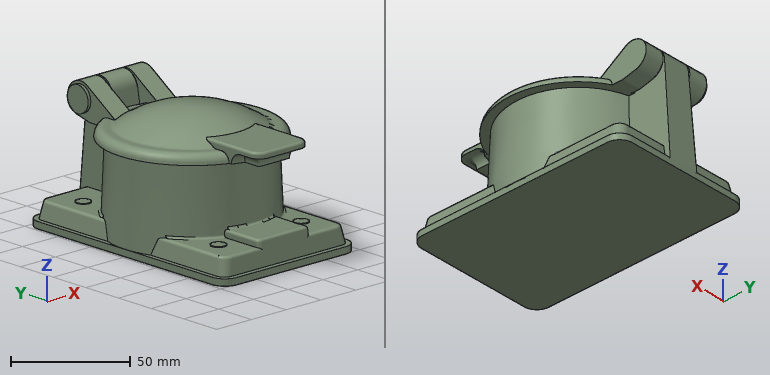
import cadquery as cq
import math


plate_width = 77.3
plate_length = 121.18
plate_thickness = 3.3
plate_corner_radius = 7.25

pedestal_base_half_x = 36.3
pedestal_base_half_y = 57.95
pedestal_top_z = 11.5
pedestal_height = pedestal_top_z - plate_thickness
pedestal_draft_x = 0.207
pedestal_draft_y = 0.156
pedestal_corner_radius = 4.7
pedestal_edge_fillet = 1.4

pad_top_z = 14.9
pad_half_width = 14.6
pad_corner_radius = 2.0
pad_edge_fillet = 1.3
pad_back_y = -30.0

screw_half_x = 23.8
screw_half_y = 41.35
screw_radius = 3.5
screw_height = 0.4

body_base_radius = 38.6
body_top_radius = 36.9
body_foot_fillet = 1.0

lid_bottom_z = 44.8
lid_radius = 82.74 / 2
lid_lip_height = 0.9
lid_lip_draft = 0.17
rim_top_z = 49.3
rim_flat_outer_radius = 36.9
rim_flat_inner_radius = 34.2
dome_base_radius = 32.0
dome_base_z = 50.2
dome_top_z = 59.4

hinge_y = 48.8
hinge_radius = 7.75
hinge_z = 61.9 - hinge_radius
arm_inner_x = 8.15
arm_outer_x = 18.5
arm_upper_slope = 33.3
arm_lower_slope = 13.5
arm_root_y = 25.0
pin_radius = 6.4
pin_end_x = -20.05
post_base_half_width = 8.15
post_top_half_width = 7.2
post_front_foot_y = 39.5
post_root_y = 30.0
lid_clearance_y = 38.4

tab_half_width = 15.0
tab_end_y = -56.5
tab_root_y = -22.0
tab_bottom_z = 50.1
tab_top_z = 52.75
tab_corner_radius = 5.8
tab_edge_fillet = 1.3
tab_hub_radius = 42.7
stem_half_width = 9.0
stem_end_y = -50.5
stem_corner_radius = 0.9
stem_flare_radius = 5.0


def box(x_min, x_max, y_min, y_max, z_min, z_max):
    """Axis-aligned block between the given limits."""
    size = (x_max - x_min, y_max - y_min, z_max - z_min)
    return cq.Workplane("XY").box(*size, centered=False).translate((x_min, y_min, z_min))


def side_profile(x_min):
    """Workplane at x_min whose local axes are Y and Z and whose normal is +X."""
    return cq.Workplane("YZ", origin=(x_min, 0, 0))


def hinge_point(angle):
    """(y, z) on the hinge barrel at an angle in degrees from +Y towards +Z."""
    a = math.radians(angle)
    return (hinge_y + hinge_radius * math.cos(a), hinge_z + hinge_radius * math.sin(a))


def tangent_angle(y, z, side):
    """Barrel angle in degrees where a line from (y, z) touches it; side is 1 for +Y, -1 for -Y."""
    distance = math.hypot(y - hinge_y, z - hinge_z)
    direction = math.atan2(z - hinge_z, y - hinge_y)
    return math.degrees(direction + side * math.acos(hinge_radius / distance))


def make_plate():
    plate = cq.Workplane("XY").rect(plate_width, plate_length).extrude(plate_thickness)
    return plate.edges("|Z").fillet(plate_corner_radius)


def pedestal_section(height):
    """Rounded rectangle of the drafted pedestal at a height above the plate."""
    return cq.Sketch().rect(
        2 * (pedestal_base_half_x - pedestal_draft_x * height),
        2 * (pedestal_base_half_y - pedestal_draft_y * height),
    ).vertices().fillet(pedestal_corner_radius)


def make_pedestal():
    block = (
        cq.Workplane("XY", origin=(0, 0, plate_thickness))
        .placeSketch(
            pedestal_section(0),
            pedestal_section(pedestal_height).moved(cq.Location(cq.Vector(0, 0, pedestal_height))),
        )
        .loft()
    )
    return block.faces(">Z").edges().fillet(pedestal_edge_fillet)


def make_label_pad():
    """Round-edged pad whose front face continues the draft of the pedestal."""
    front_y = -pedestal_base_half_y + pedestal_draft_y * (pad_top_z - plate_thickness)
    pad = (
        side_profile(-pad_half_width)
        .polyline([
            (pad_back_y, plate_thickness),
            (-pedestal_base_half_y, plate_thickness),
            (front_y, pad_top_z),
            (pad_back_y, pad_top_z),
        ])
        .close()
        .extrude(2 * pad_half_width)
    )
    pad = pad.faces("<X or >X").edges("<Y").fillet(pad_corner_radius)
    return pad.faces(">Z").edges("not >Y").fillet(pad_edge_fillet)


def make_screw_covers():
    return (
        cq.Workplane("XY", origin=(0, 0, plate_thickness))
        .rect(2 * screw_half_x, 2 * screw_half_y, forConstruction=True)
        .vertices()
        .circle(screw_radius)
        .extrude(pedestal_height + screw_height)
    )


def make_body():
    return (
        cq.Workplane("XZ")
        .polyline([
            (0, plate_thickness),
            (body_base_radius, plate_thickness),
            (body_top_radius, lid_bottom_z),
            (0, lid_bottom_z),
        ])
        .close()
        .revolve(360, (0, 0, 0), (0, 1, 0))
    )


def make_foot_fillet(z, half_x, y_min, y_max):
    """Hollow fillet around the body where it meets a level face at height z, trimmed to that face."""
    r = body_foot_fillet
    slope = (body_base_radius - body_top_radius) / (lid_bottom_z - plate_thickness)
    wall = body_base_radius - slope * (z - plate_thickness)
    bend = r * (1 - math.sqrt(0.5))
    ring = (
        cq.Workplane("XZ")
        .moveTo(wall - r, z)
        .lineTo(wall + r, z)
        .threePointArc((wall + bend, z + bend), (wall - slope * r, z + r))
        .lineTo(wall - r, z + r)
        .close()
        .revolve(360, (0, 0, 0), (0, 1, 0))
    )
    return ring.intersect(box(-half_x, half_x, y_min, y_max, z, z + r))


def make_lid():
    """Revolved lid: short lip, rounded rim, flat ring, hollow blend and spherical dome."""
    lip_top = (lid_radius - lid_lip_draft, lid_bottom_z + lid_lip_height)
    run = lip_top[0] - rim_flat_outer_radius
    rise = rim_top_z - lip_top[1]
    rim_arc_radius = (run**2 + rise**2) / (2 * rise)
    half_angle = math.asin(run / rim_arc_radius) / 2
    rim_mid = (
        rim_flat_outer_radius + rim_arc_radius * math.sin(half_angle),
        rim_top_z - rim_arc_radius * (1 - math.cos(half_angle)),
    )
    blend_run = rim_flat_inner_radius - dome_base_radius
    blend_rise = dome_base_z - rim_top_z
    blend_mid = (rim_flat_inner_radius - blend_run / 2, rim_top_z + blend_rise / 4)
    dome_height = dome_top_z - dome_base_z
    dome_sphere_radius = (dome_base_radius**2 + dome_height**2) / (2 * dome_height)
    dome_mid_radius = dome_base_radius / 2
    dome_mid_drop = dome_sphere_radius - math.sqrt(dome_sphere_radius**2 - dome_mid_radius**2)
    return (
        cq.Workplane("XZ")
        .moveTo(0, lid_bottom_z)
        .lineTo(lid_radius, lid_bottom_z)
        .lineTo(*lip_top)
        .threePointArc(rim_mid, (rim_flat_outer_radius, rim_top_z))
        .lineTo(rim_flat_inner_radius, rim_top_z)
        .threePointArc(blend_mid, (dome_base_radius, dome_base_z))
        .threePointArc((dome_mid_radius, dome_top_z - dome_mid_drop), (0, dome_top_z))
        .close()
        .revolve(360, (0, 0, 0), (0, 1, 0))
    )


def make_lid_clearance():
    """Block removed from the lid between the arms so that it clears the hinge post."""
    return box(-arm_inner_x, arm_inner_x, lid_clearance_y, lid_radius, lid_bottom_z, dome_top_z)


def make_arm(x_min):
    """Lid arm: hinge barrel with tangent flanks running down into the lid."""
    upper = hinge_point(90 + arm_upper_slope)
    lower = hinge_point(-90 + arm_lower_slope)
    upper_root_z = upper[1] - (upper[0] - arm_root_y) * math.tan(math.radians(arm_upper_slope))
    heel_y = lower[0] - (lower[1] - lid_bottom_z) / math.tan(math.radians(arm_lower_slope))
    return (
        side_profile(x_min)
        .moveTo(arm_root_y, lid_bottom_z)
        .lineTo(heel_y, lid_bottom_z)
        .lineTo(*lower)
        .threePointArc(hinge_point(0), upper)
        .lineTo(arm_root_y, upper_root_z)
        .close()
        .extrude(arm_outer_x - arm_inner_x)
    )


def make_pin():
    return side_profile(pin_end_x).center(hinge_y, hinge_z).circle(pin_radius).extrude(arm_outer_x - pin_end_x)


def make_hinge_post():
    """Post from the plate's rear edge up to the hinge barrel, narrowing towards the top."""
    back_y = plate_length / 2
    back_tangent = hinge_point(tangent_angle(back_y, plate_thickness, 1))
    front_tangent = hinge_point(tangent_angle(post_front_foot_y, lid_bottom_z, -1))
    profile = (
        side_profile(-post_base_half_width)
        .moveTo(post_root_y, plate_thickness)
        .lineTo(back_y, plate_thickness)
        .lineTo(*back_tangent)
        .threePointArc(hinge_point(90), front_tangent)
        .lineTo(post_front_foot_y, lid_bottom_z)
        .lineTo(post_root_y, lid_bottom_z)
        .close()
        .extrude(2 * post_base_half_width)
    )
    taper = (
        cq.Workplane("XZ", origin=(0, back_y, 0))
        .polyline([
            (-post_base_half_width, plate_thickness),
            (post_base_half_width, plate_thickness),
            (post_top_half_width, hinge_z + hinge_radius),
            (-post_top_half_width, hinge_z + hinge_radius),
        ])
        .close()
        .extrude(back_y - post_root_y)
    )
    return profile.intersect(taper)


def make_tab():
    """Thumb tab: flat paddle on a narrow stem and a full-width hub, both flaring into the paddle."""
    w = tab_half_width
    hub_height = tab_bottom_z - lid_bottom_z
    stem = box(-stem_half_width, stem_half_width, stem_end_y, 0, lid_bottom_z, tab_bottom_z)
    stem = stem.edges("|Z and <Y").fillet(stem_corner_radius)
    hub = cq.Workplane("XY", origin=(0, 0, lid_bottom_z)).circle(tab_hub_radius).extrude(hub_height)
    half = 2 * tab_hub_radius
    blank = box(-half, half, -half, half, tab_bottom_z, tab_top_z).union(hub.union(stem))
    margin = 0.1
    reach = half - margin
    flare_joint = cq.selectors.BoxSelector(
        (-reach, -reach, tab_bottom_z - margin),
        (reach, reach, tab_bottom_z + margin),
    )
    flared = blank.edges(flare_joint).fillet(stem_flare_radius)
    outline = box(-w, w, tab_end_y, tab_root_y, lid_bottom_z, tab_top_z)
    outline = outline.edges("|Z and <Y").fillet(tab_corner_radius)
    tab = flared.intersect(outline)
    return tab.faces(">Z").edges("not >Y").fillet(tab_edge_fillet)


pedestal_flat_half_x = pedestal_base_half_x - pedestal_draft_x * pedestal_height - pedestal_edge_fillet
pad_flat_half_x = pad_half_width - pad_edge_fillet
lid = make_lid().cut(make_lid_clearance())

result = (
    make_plate()
    .union(make_pedestal())
    .union(make_label_pad())
    .union(make_screw_covers())
    .union(make_body())
    .union(make_foot_fillet(pedestal_top_z, pedestal_flat_half_x, -plate_length / 2, plate_length / 2))
    .union(make_foot_fillet(pad_top_z, pad_flat_half_x, -plate_length / 2, 0))
    .union(make_hinge_post())
    .union(lid)
    .union(make_tab())
    .union(make_arm(-arm_outer_x))
    .union(make_arm(arm_inner_x))
    .union(make_pin())
)